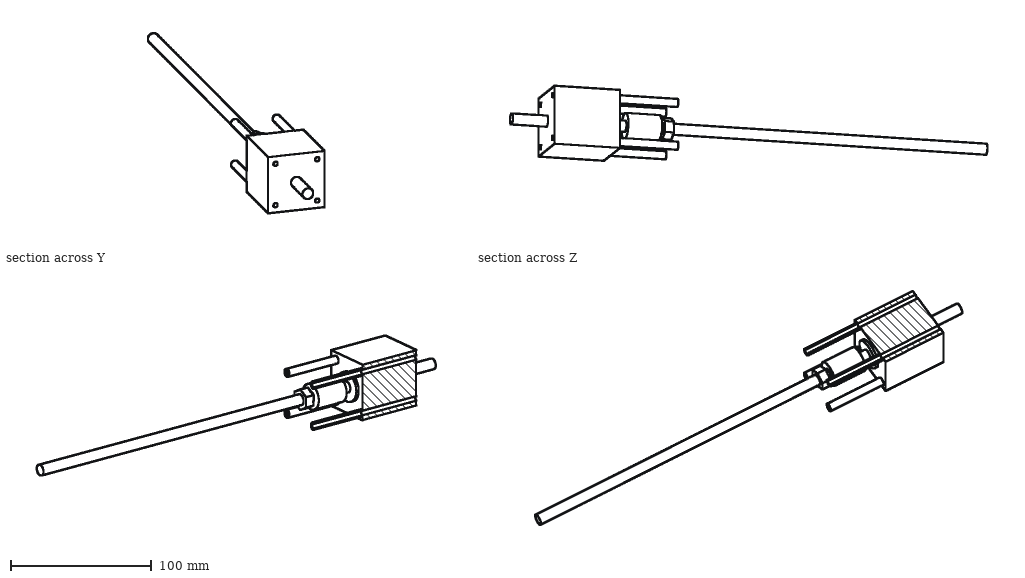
import cadquery as cq

TOTAL_LENGTH = 350.0
ROD_DIAMETER = 8.0

HOUSING_SIDE = 42.5
HOUSING_START = 275.8
HOUSING_LENGTH = 48.3
BOSS_DIAMETER = 22.0
BOSS_HEIGHT = 2.0

STANDOFF_LENGTH = 43.8
STANDOFF_DIAMETER = 6.0
STANDOFF_BORE = 3.0
STANDOFF_SPACING = 31.0

NUT_START = 232.0
NUT_LENGTH = 6.5
NUT_ACROSS_CORNERS = 15.8

COLLAR_START = 241.5
COLLAR_LENGTH = 25.0
COLLAR_DIAMETER = 19.0


def section_at(x):
    """Workplane across the main axis: local x is Y, local y is Z."""
    return cq.Workplane("YZ", origin=(x, 0, 0))


def make_rod():
    return section_at(0).circle(ROD_DIAMETER / 2).extrude(TOTAL_LENGTH)


def make_housing():
    block = section_at(HOUSING_START).rect(HOUSING_SIDE, HOUSING_SIDE).extrude(HOUSING_LENGTH)
    boss = section_at(HOUSING_START).circle(BOSS_DIAMETER / 2).extrude(-BOSS_HEIGHT)
    screw_holes = (
        section_at(HOUSING_START)
        .rect(STANDOFF_SPACING, STANDOFF_SPACING, forConstruction=True)
        .vertices()
        .circle(STANDOFF_BORE / 2)
        .extrude(HOUSING_LENGTH)
    )
    return block.union(boss).cut(make_rod()).cut(screw_holes)


def make_nut():
    hexagon = section_at(NUT_START).polygon(6, NUT_ACROSS_CORNERS).extrude(NUT_LENGTH)
    upright = hexagon.rotate((0, 0, 0), (1, 0, 0), 90)
    return upright.cut(make_rod())


def make_collar():
    profile = section_at(COLLAR_START).circle(COLLAR_DIAMETER / 2).circle(ROD_DIAMETER / 2)
    return profile.extrude(COLLAR_LENGTH)


def make_standoff(y, z):
    centre = section_at(HOUSING_START).center(y, z)
    profile = centre.circle(STANDOFF_DIAMETER / 2).circle(STANDOFF_BORE / 2)
    return profile.extrude(-STANDOFF_LENGTH)


rod = make_rod()
housing = make_housing()
nut = make_nut()
collar = make_collar()

standoffs = []
for y_side in (-1, 1):
    for z_side in (-1, 1):
        standoff = make_standoff(y_side * STANDOFF_SPACING / 2, z_side * STANDOFF_SPACING / 2)
        standoffs.append(standoff.val())

result = cq.Compound.makeCompound([rod.val(), housing.val(), nut.val(), collar.val(), *standoffs])